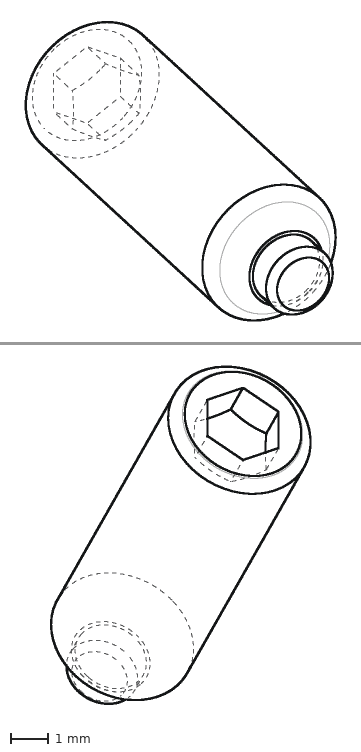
import cadquery as cq
import math

length = 13.0
body_radius = 2.0

face_radius = 1.64
edge_break_length = 0.04
edge_break_radius = 1.69
lead_chamfer_end = 0.32

cone_start = 10.95
cone_length = 0.35
flare_end = 11.99
flare_end_radius = 1.1
dog_radius = 1.0
dog_chamfer = 0.22

socket_across_flats = 2.0
socket_depth = 1.12
drill_point_angle = 120.0


def make_body():
    """Revolve the half profile of the screw about the X axis."""
    profile = (
        cq.Workplane("XY")
        .lineTo(0, face_radius)
        .lineTo(edge_break_length, edge_break_radius)
        .lineTo(lead_chamfer_end, body_radius)
        .lineTo(cone_start, body_radius)
        .lineTo(cone_start + cone_length, body_radius - cone_length)
        .tangentArcPoint((flare_end, flare_end_radius), relative=False)
        .lineTo(flare_end, dog_radius)
        .lineTo(length - dog_chamfer, dog_radius)
        .lineTo(length, dog_radius - dog_chamfer)
        .lineTo(length, 0)
        .close()
    )
    return profile.revolve(360, (0, 0, 0), (1, 0, 0))


def make_socket():
    """Hexagonal prism with corners on the Z axis, ending in a cone."""
    corner_radius = socket_across_flats / 2 / math.cos(math.radians(30))
    cone_depth = corner_radius / math.tan(math.radians(drill_point_angle / 2))
    hexagon = (
        cq.Workplane("YZ")
        .transformed(rotate=(0, 0, 90))
        .polygon(6, 2 * corner_radius)
        .extrude(socket_depth + cone_depth)
    )
    drill = (
        cq.Workplane("XY")
        .lineTo(0, corner_radius)
        .lineTo(socket_depth, corner_radius)
        .lineTo(socket_depth + cone_depth, 0)
        .close()
        .revolve(360, (0, 0, 0), (1, 0, 0))
    )
    return hexagon.intersect(drill)


result = make_body().cut(make_socket())